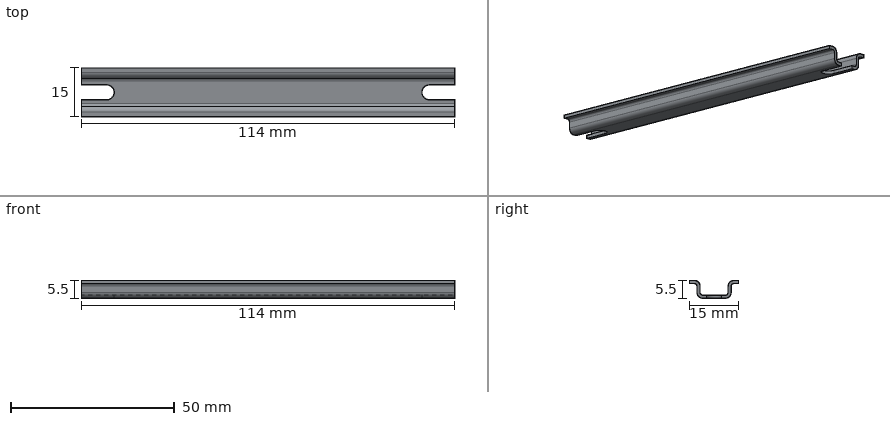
import cadquery as cq

length = 114.0
width = 15.0
height = 5.5

thickness = 1.0
channel_outer_width = 10.5
inner_bend_radius = 0.8
outer_bend_radius = inner_bend_radius + thickness

slot_width = 4.5
slot_depth = 10.0


def half_profile():
    """Closed +Y half of the hat section in the YZ plane, floor resting on Z = 0."""
    half_width = width / 2
    wall_outer = channel_outer_width / 2
    wall_inner = wall_outer - thickness
    lower_bend_y = wall_outer - outer_bend_radius
    upper_bend_y = wall_inner + outer_bend_radius
    upper_bend_z = height - outer_bend_radius
    flange_underside = height - thickness

    half_section = (
        cq.Workplane("YZ")
        .moveTo(0, 0)
        .lineTo(lower_bend_y, 0)
        .radiusArc((wall_outer, outer_bend_radius), -outer_bend_radius)
        .lineTo(wall_outer, upper_bend_z)
        .radiusArc((upper_bend_y, flange_underside), inner_bend_radius)
        .lineTo(half_width, flange_underside)
        .lineTo(half_width, height)
        .lineTo(upper_bend_y, height)
        .radiusArc((wall_inner, upper_bend_z), -outer_bend_radius)
        .lineTo(wall_inner, outer_bend_radius)
        .radiusArc((lower_bend_y, thickness), inner_bend_radius)
        .lineTo(0, thickness)
    )
    return half_section.close()


def rail_body():
    """Full-length rail made of two mirrored halves."""
    half = half_profile().extrude(length / 2, both=True)
    return half.union(half.mirror("XZ")).clean()


def end_slot(side):
    """Round-ended cutter entering the floor from the end at side * length / 2."""
    end_x = side * length / 2
    return (
        cq.Workplane("XY")
        .center(end_x, 0)
        .slot2D(2 * slot_depth, slot_width)
        .extrude(thickness)
    )


result = rail_body()
for side in (-1, 1):
    result = result.cut(end_slot(side))